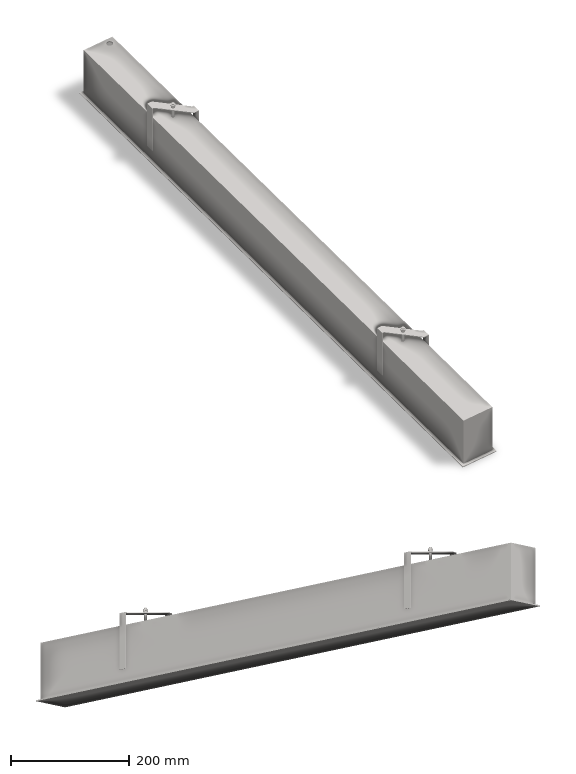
import cadquery as cq
import math

FLANGE_LENGTH = 1134.0
FLANGE_WIDTH = 69.0
FLANGE_THICKNESS = 1.9
BOX_LENGTH = 1124.0
BOX_WIDTH = 59.0
HOUSING_HEIGHT = 101.0

GROMMET_SIDE = 14.0
GROMMET_DEPTH = 2.0
GROMMET_BORE = 11.0
GROMMET_END_GAP = 5.0
GROMMET_SIDE_GAP = 7.0

HANGER_SPACING = 680.0
SHEET_THICKNESS = 1.5
LEG_WIDTH = 15.0
LEG_FAR_EDGE = 32.0
LEG_BOTTOM = 25.0
STRAP_TOP = 122.0

SCREW_DIAMETER = 4.9
SCREW_TOP = 132.0
NUT_ACROSS_CORNERS = 9.0
COLLAR_DIAMETER = 7.1
COLLAR_HEIGHT = 3.0
NUT_HEIGHT = 3.0

GROMMET_X = -BOX_LENGTH / 2 + GROMMET_END_GAP + GROMMET_SIDE / 2
GROMMET_Y = BOX_WIDTH / 2 - GROMMET_SIDE_GAP - GROMMET_SIDE / 2


def box_from(z_bottom, length, width, height, x=0, y=0):
    """Box centred on (x, y) and standing on z_bottom."""
    return (
        cq.Workplane("XY", origin=(x, y, z_bottom))
        .rect(length, width)
        .extrude(height)
    )


def grommet_block():
    """Plain block that fills the grommet pocket."""
    return box_from(
        HOUSING_HEIGHT - GROMMET_DEPTH, GROMMET_SIDE, GROMMET_SIDE, GROMMET_DEPTH, GROMMET_X, GROMMET_Y
    )


def make_housing():
    flange = box_from(0, FLANGE_LENGTH, FLANGE_WIDTH, FLANGE_THICKNESS)
    box = box_from(0, BOX_LENGTH, BOX_WIDTH, HOUSING_HEIGHT)
    return flange.union(box).cut(grommet_block())


def make_grommet():
    return grommet_block().faces(">Z").workplane(origin=(GROMMET_X, GROMMET_Y, 0)).hole(GROMMET_BORE)


def make_bracket():
    """Sheet-metal strap and its two legs, centred on the Z axis."""
    leg_inside = BOX_WIDTH / 2
    leg_outside = leg_inside + SHEET_THICKNESS
    leg_near_edge = LEG_FAR_EDGE - LEG_WIDTH
    edge_shift = LEG_WIDTH / math.sqrt(2)
    half_outline = [
        (-LEG_FAR_EDGE, -leg_outside),
        (-leg_near_edge, -leg_outside),
        (-leg_near_edge, -leg_near_edge - edge_shift),
        (LEG_FAR_EDGE, LEG_FAR_EDGE - edge_shift),
    ]
    outline = half_outline + [(-x, -y) for x, y in half_outline]
    bracket = (
        cq.Workplane("XY", origin=(0, 0, STRAP_TOP - SHEET_THICKNESS))
        .polyline(outline)
        .close()
        .extrude(SHEET_THICKNESS)
    )
    leg_height = STRAP_TOP - LEG_BOTTOM
    leg_x = (leg_near_edge + LEG_FAR_EDGE) / 2
    leg_y = (leg_inside + leg_outside) / 2
    for side in (-1, 1):
        leg = box_from(LEG_BOTTOM, LEG_WIDTH, SHEET_THICKNESS, leg_height, side * leg_x, side * leg_y)
        bracket = bracket.union(leg)
    return bracket


def make_clamp_screw():
    """Screw standing on the housing, with a round collar and a hex nut above the strap."""
    screw = (
        cq.Workplane("XY", origin=(0, 0, HOUSING_HEIGHT))
        .circle(SCREW_DIAMETER / 2)
        .extrude(SCREW_TOP - HOUSING_HEIGHT)
    )
    collar = (
        cq.Workplane("XY", origin=(0, 0, STRAP_TOP))
        .circle(COLLAR_DIAMETER / 2)
        .extrude(COLLAR_HEIGHT)
    )
    nut = (
        cq.Workplane("XY", origin=(0, 0, STRAP_TOP + COLLAR_HEIGHT))
        .polygon(6, NUT_ACROSS_CORNERS)
        .extrude(NUT_HEIGHT)
        .rotate((0, 0, 0), (0, 0, 1), 90)
    )
    return screw.union(collar).union(nut)


def make_hanger(x_center):
    return make_bracket().union(make_clamp_screw()).translate((x_center, 0, 0))


housing = make_housing()
grommet = make_grommet()
hangers = [make_hanger(side * HANGER_SPACING / 2) for side in (-1, 1)]

result = cq.Compound.makeCompound(
    [housing.val(), grommet.val(), *[hanger.val() for hanger in hangers]]
)